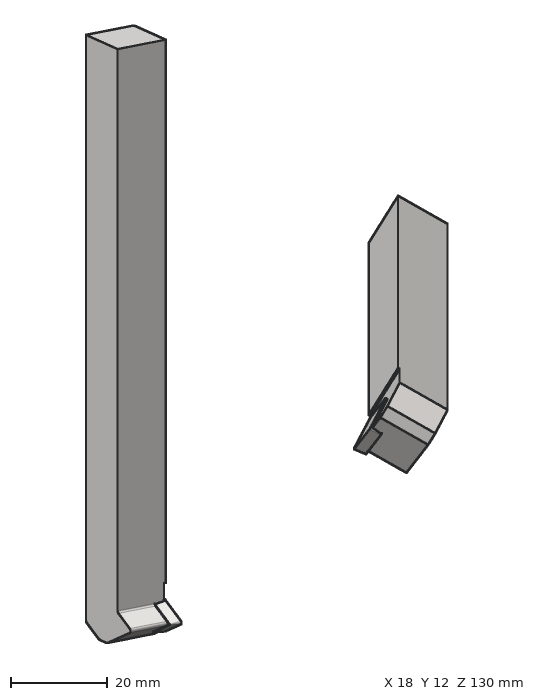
import cadquery as cq
import math

SHANK_WIDTH = 12.0
TOTAL_LENGTH = 130.0

REACH = 18.0
NOSE_HEIGHT = 5.0
HALF_POINT_ANGLE = 27.5
INSERT_SIDE = 7.8
INSERT_THICKNESS = 2.7
NOSE_RADIUS = 0.4
CLEARANCE_ANGLE = 7.0

HEAD_REACH = 16.8
HEAD_RADIUS = 0.5
HEEL_HEIGHT = 2.6
RELIEF_DEPTH = 0.4
RELIEF_HEIGHT = 12.1

half_angle = math.radians(HALF_POINT_ANGLE)
slope = math.tan(half_angle)


def sharp_tip(rounded_tip, radius):
    """X where the two flanks would meet if the tip were not rounded."""
    return rounded_tip + radius * (1 / math.sin(half_angle) - 1)


def extrude_from_back(outline, thickness):
    """Plate with an XZ outline, reaching from the back face toward -Y."""
    back = cq.Workplane("XZ", origin=(0, SHANK_WIDTH, 0))
    return back.polyline(outline).close().extrude(thickness)


def make_insert():
    """Diamond plate with rounded corners, widest at its +Y cutting face."""
    half_length = INSERT_SIDE * math.cos(half_angle)
    half_height = INSERT_SIDE * math.sin(half_angle)
    center_x = sharp_tip(REACH, NOSE_RADIUS) - half_length
    diamond = [
        (center_x - half_length, NOSE_HEIGHT),
        (center_x, NOSE_HEIGHT - half_height),
        (center_x + half_length, NOSE_HEIGHT),
        (center_x, NOSE_HEIGHT + half_height),
    ]
    blank = extrude_from_back(diamond, INSERT_THICKNESS).edges("|Y").fillet(NOSE_RADIUS)
    cutting_face = blank.faces(">Y").wires()
    return cutting_face.toPending().workplane(invert=True).extrude(
        INSERT_THICKNESS, combine=False, taper=CLEARANCE_ANGLE
    )


def make_bar():
    """Square shank ending in a pointed head, with a sloped heel behind it."""
    head_tip = sharp_tip(HEAD_REACH, HEAD_RADIUS)
    shoulder_height = NOSE_HEIGHT + (head_tip - SHANK_WIDTH) * slope
    outline = [
        (0, TOTAL_LENGTH),
        (0, HEEL_HEIGHT),
        (HEEL_HEIGHT / slope, 0),
        (head_tip - NOSE_HEIGHT / slope, 0),
        (head_tip, NOSE_HEIGHT),
        (SHANK_WIDTH, shoulder_height),
        (SHANK_WIDTH, TOTAL_LENGTH),
    ]
    bar = extrude_from_back(outline, SHANK_WIDTH)
    bar = bar.edges("|Y").edges(">X").fillet(HEAD_RADIUS)
    shoulder = cq.selectors.NearestToPointSelector((SHANK_WIDTH, SHANK_WIDTH / 2, shoulder_height))
    return bar.edges("|Y").edges(shoulder).fillet(HEAD_RADIUS)


def make_holder(insert):
    """Bar with a relieved back face and a matching seat for the insert."""
    relief = cq.Workplane(origin=(0, SHANK_WIDTH - RELIEF_DEPTH, 0)).box(
        REACH, RELIEF_DEPTH, RELIEF_HEIGHT, centered=False
    )
    return make_bar().cut(relief).cut(insert)


insert = make_insert()
holder = make_holder(insert)

result = cq.Compound.makeCompound([holder.val(), insert.val()])